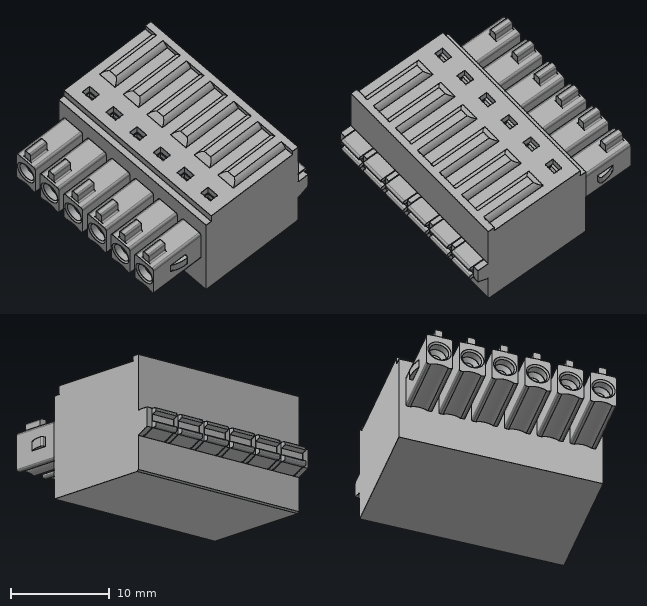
import cadquery as cq
import math


length = 21.8
poles = 6
end_margin = 2.15
pitch = (length - 2 * end_margin) / (poles - 1)
pole_xs = [-length / 2 + end_margin + i * pitch for i in range(poles)]

height = 12.4
body_depth = 12.85
back_wall = 0.8
rib_height = 0.55
deck_z = height - rib_height
step_depth = 0.72
step_z = 10.95
back_bottom_chamfer = 0.17

rib_width = 2.27
rib_top_width = 0.95
rib_base_front_y = body_depth - 8.09
rib_top_front_y = body_depth - 7.32

opening_width = 1.4
opening_front_y = 1.96
opening_length = 1.0
opening_depth = 0.87
opening_ledge = 0.1
slope_front_gap = 0.3
slope_drop = 0.65

plug_length = 6.58
plug_width = 2.8
plug_bottom_z = 4.6
plug_top_z = 8.72
plug_top_fillet = 0.26
plug_bottom_fillet = 0.2
arch_width = 1.87
arch_rise = 0.22

socket_z = 6.7
socket_mouth_diameter = 2.46
socket_bore_diameter = 2.05
socket_floor_diameter = 1.18
socket_chamfer_depth = 0.15
socket_bore_depth = 0.92
socket_depth = 1.35

key_width = 0.85
key_height = 1.15
key_length = 2.27
key_setback = 0.26
key_top_fillet = 0.2
key_root_fillet = 0.17

wedge_reach = 0.44
wedge_front_y = -4.2
wedge_back_y = -2.18
wedge_bottom_z = 6.23
wedge_top_z = 7.24
wedge_fillet = 0.22

lever_width = 2.81
lever_gap = 0.07
bar_reach = 1.35
lever_reach = 1.87
bar_top_z = 6.5
bar_bottom_z = 4.45
bar_root_z = 3.8
upper_nose_root_z = 5.86
upper_nose_tip_z = 6.13
lower_nose_root_z = 5.15
lower_nose_tip_z = 5.0
nose_fillet = 0.22


def box(width, y_range, z_range, x=0.0):
    """Box centred on x and spanning the given Y and Z ranges."""
    y0, y1 = y_range
    z0, z1 = z_range
    return cq.Workplane("XY").box(width, y1 - y0, z1 - z0).translate((x, (y0 + y1) / 2, (z0 + z1) / 2))


def extrude_x(outline, width, x=0.0):
    """Prism of a closed (Y, Z) outline, centred on x."""
    return cq.Workplane("YZ", origin=(x, 0, 0)).polyline(outline).close().extrude(width / 2, both=True)


def make_body():
    wall_y = body_depth - back_wall
    outline = [
        (0, 0),
        (body_depth - back_bottom_chamfer, 0),
        (body_depth, back_bottom_chamfer),
        (body_depth, height),
        (wall_y, height),
        (wall_y, deck_z),
        (step_depth, deck_z),
        (step_depth, step_z),
        (0, step_z),
    ]
    return extrude_x(outline, length)


def make_rib(x):
    half_base = rib_width / 2
    half_top = rib_top_width / 2
    axis_drop = (half_base**2 - half_top**2 - rib_height**2) / (2 * rib_height)
    radius = math.hypot(half_base, axis_drop)
    side_z = rib_height / 2
    side_x = math.sqrt(radius**2 - (side_z + axis_drop) ** 2)
    arch = (
        cq.Workplane("XZ", origin=(x, body_depth, deck_z))
        .moveTo(-half_base, 0)
        .threePointArc((-side_x, side_z), (-half_top, rib_height))
        .lineTo(half_top, rib_height)
        .threePointArc((side_x, side_z), (half_base, 0))
        .close()
        .extrude(body_depth - rib_base_front_y)
    )
    slope_profile = [
        (rib_base_front_y, deck_z),
        (rib_top_front_y, height),
        (body_depth, height),
        (body_depth, deck_z),
    ]
    return arch.intersect(extrude_x(slope_profile, rib_width, x))


def make_opening(x):
    back_y = opening_front_y + opening_length
    ledge_z = deck_z - opening_depth
    mouth = box(opening_width, (opening_front_y, back_y), (ledge_z, deck_z), x)
    inner_back_y = back_y - opening_ledge
    slope = [
        (opening_front_y + slope_front_gap, ledge_z),
        (inner_back_y, ledge_z),
        (inner_back_y, ledge_z - slope_drop),
    ]
    return mouth.union(extrude_x(slope, opening_width - 2 * opening_ledge, x))


def make_plug(x):
    plug = box(plug_width, (-plug_length, 0), (plug_bottom_z, plug_top_z), x)
    plug = plug.edges("|Y and >Z").fillet(plug_top_fillet)
    plug = plug.edges("|Y and <Z").fillet(plug_bottom_fillet)
    groove = (
        cq.Workplane("XZ", origin=(x, 0, plug_bottom_z))
        .moveTo(-arch_width / 2, 0)
        .threePointArc((0, arch_rise), (arch_width / 2, 0))
        .close()
        .extrude(plug_length)
    )
    return plug.cut(groove)


def make_socket(x):
    profile = [
        (0, 0),
        (socket_mouth_diameter / 2, 0),
        (socket_bore_diameter / 2, socket_chamfer_depth),
        (socket_bore_diameter / 2, socket_bore_depth),
        (socket_floor_diameter / 2, socket_depth),
        (0, socket_depth),
    ]
    return (
        cq.Workplane("ZY", origin=(x, -plug_length, socket_z))
        .polyline(profile)
        .close()
        .revolve(360, (0, 0, 0), (0, 1, 0))
    )


def make_key(x):
    front_y = key_setback - plug_length
    half = key_width / 2
    foot = half + key_root_fillet
    bend = key_root_fillet * (1 - math.sqrt(0.5))
    key = (
        cq.Workplane("XZ", origin=(x, front_y + key_length, plug_top_z))
        .moveTo(-foot, 0)
        .threePointArc((-half - bend, bend), (-half, key_root_fillet))
        .lineTo(-half, key_height)
        .lineTo(half, key_height)
        .lineTo(half, key_root_fillet)
        .threePointArc((half + bend, bend), (foot, 0))
        .close()
        .extrude(key_length)
    )
    return key.edges("|Y and >Z").fillet(key_top_fillet)


def make_wedge():
    """Snap wedge on the -X side of the first plug, tapering along an arc towards the front."""
    side_x = pole_xs[0] - plug_width / 2
    tip_x = side_x - wedge_reach
    bend = wedge_fillet * (1 - math.sqrt(0.5))
    return (
        cq.Workplane("XY", origin=(0, 0, wedge_bottom_z))
        .moveTo(side_x, wedge_back_y)
        .lineTo(tip_x + wedge_fillet, wedge_back_y)
        .threePointArc((tip_x + bend, wedge_back_y - bend), (tip_x, wedge_back_y - wedge_fillet))
        .tangentArcPoint((side_x, wedge_front_y), relative=False)
        .close()
        .extrude(wedge_top_z - wedge_bottom_z)
    )


def make_bar():
    outline = [
        (body_depth, bar_root_z),
        (body_depth + bar_reach, bar_bottom_z),
        (body_depth + bar_reach, bar_top_z),
        (body_depth, bar_top_z),
    ]
    bar = extrude_x(outline, length)
    slot_width = lever_width + 2 * lever_gap
    for x in pole_xs:
        bar = bar.cut(box(slot_width, (body_depth, body_depth + bar_reach), (bar_root_z, bar_top_z), x))
    return bar


def make_lever(x):
    neck_y = body_depth + bar_reach
    tip_y = body_depth + lever_reach
    neck_outline = [
        (body_depth, bar_root_z),
        (neck_y, bar_bottom_z),
        (neck_y, bar_top_z),
        (body_depth, bar_top_z),
    ]
    upper_nose_outline = [
        (neck_y, upper_nose_root_z),
        (tip_y, upper_nose_tip_z),
        (tip_y, bar_top_z),
        (neck_y, bar_top_z),
    ]
    lower_nose_outline = [
        (neck_y, bar_bottom_z),
        (tip_y, bar_bottom_z),
        (tip_y, lower_nose_tip_z),
        (neck_y, lower_nose_root_z),
    ]
    upper_nose = extrude_x(upper_nose_outline, lever_width, x)
    upper_nose = upper_nose.faces(">Y").edges(">Z").fillet(nose_fillet)
    lower_nose = extrude_x(lower_nose_outline, lever_width, x)
    lower_nose = lower_nose.faces(">Y").edges("|X").fillet(nose_fillet)
    return extrude_x(neck_outline, lever_width, x).union(upper_nose).union(lower_nose)


result = make_body().union(make_bar())
for pole_x in pole_xs:
    result = result.union(make_rib(pole_x)).cut(make_opening(pole_x))
    result = result.union(make_plug(pole_x)).cut(make_socket(pole_x)).union(make_key(pole_x))
    result = result.union(make_lever(pole_x))

snap_wedge = make_wedge()
result = result.union(snap_wedge).union(snap_wedge.mirror("YZ"))